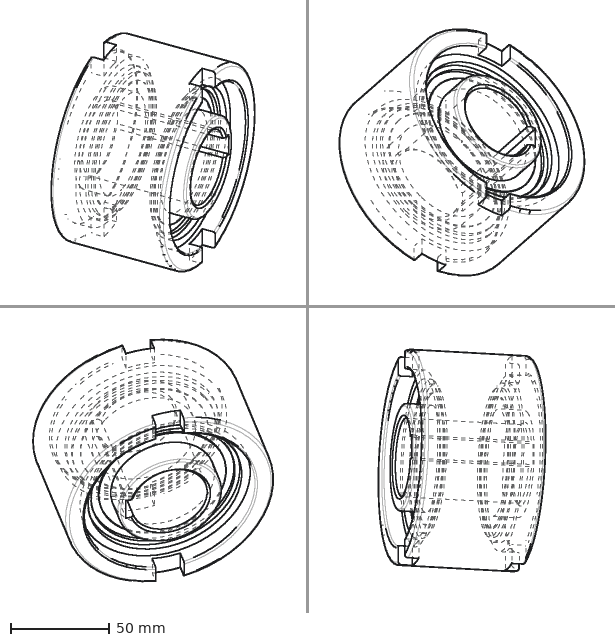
import cadquery as cq

width = 63.0
outer_radius = 55.0
ring_bore_radius = 45.1
edge_round = 1.5
bore_edge_round = 1.0

hub_radius = 27.4
hub_edge_round = 1.1
shaft_radius = 20.0
shaft_chamfer = 1.3

shoulder_radius = 40.6
middle_step_radius = 38.1
inner_step_radius = 33.7
shoulder_depth = 9.6
middle_depth = 13.0
inner_depth = 15.0
seal_depth = 14.1

slot_width = 15.0
slot_depth = 7.3
keyway_width = 12.0
keyway_reach = 23.3

half_width = width / 2


def disc(radius, x_start, x_end):
    """Solid cylinder on the X axis between two X positions."""
    return cq.Workplane("YZ", origin=(x_start, 0, 0)).circle(radius).extrude(x_end - x_start)


def make_ring():
    """Outer ring with rounded edges on both faces."""
    ring = disc(outer_radius, -half_width, half_width).edges().fillet(edge_round)
    bore = disc(ring_bore_radius, -half_width, half_width)
    ring = ring.cut(bore)
    bore_edges = cq.selectors.RadiusNthSelector(0)
    return ring.faces("<X or >X").edges(bore_edges).fillet(bore_edge_round)


def make_web():
    """Stepped closure between ring and hub, the same on both sides."""
    steps = [
        (ring_bore_radius, shoulder_radius, shoulder_depth),
        (shoulder_radius, middle_step_radius, middle_depth),
        (middle_step_radius, inner_step_radius, inner_depth),
        (inner_step_radius, 0, seal_depth),
    ]
    web = None
    for step_outer, step_inner, depth in steps:
        reach = half_width - depth
        step = disc(step_outer, -reach, reach)
        if step_inner > 0:
            step = step.cut(disc(step_inner, -reach, reach))
        web = step if web is None else web.union(step)
    return web


def make_hub():
    """Hub sleeve with rounded outer edges."""
    return disc(hub_radius, -half_width, half_width).edges().fillet(hub_edge_round)


def make_shaft_bore():
    """Cutter for the shaft bore, chamfered outwards at both ends."""
    mouth_radius = shaft_radius + shaft_chamfer
    profile = [
        (-half_width, 0),
        (-half_width, mouth_radius),
        (-half_width + shaft_chamfer, shaft_radius),
        (half_width - shaft_chamfer, shaft_radius),
        (half_width, mouth_radius),
        (half_width, 0),
    ]
    return cq.Workplane("XY").polyline(profile).close().revolve(360, (0, 0, 0), (1, 0, 0))


def make_keyway():
    """Cutter for the keyway on the +Y side of the bore."""
    return cq.Workplane("XY").box(width, keyway_reach, keyway_width, centered=(True, False, True))


def make_slots(side):
    """Cutter for the two opposed slots in the ring face at -X (side=-1) or +X (side=1)."""
    bar = cq.Workplane("XY").box(slot_depth, slot_width, 2 * outer_radius)
    bar = bar.translate((side * (half_width - slot_depth / 2), 0, 0))
    return bar.cut(disc(ring_bore_radius, -half_width, half_width))


ring = make_ring()
for side in (-1, 1):
    ring = ring.cut(make_slots(side))

result = ring.union(make_web()).union(make_hub())
result = result.cut(make_shaft_bore()).cut(make_keyway())